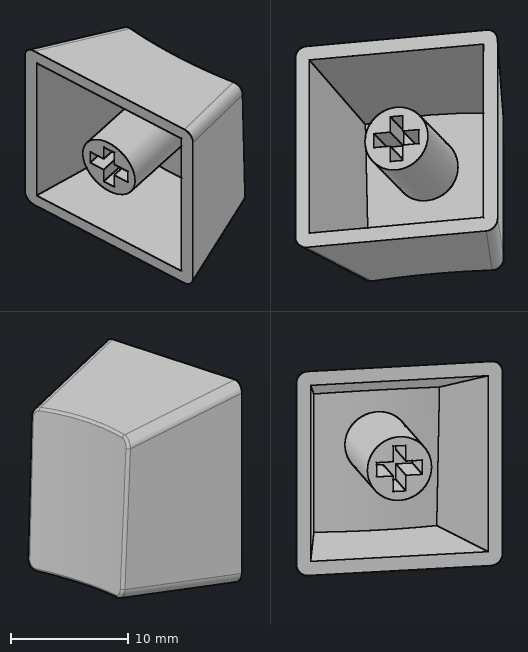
import cadquery as cq
import math

base_size = 18.0
wall = 1.25
side_lean = math.radians(13.9)
top_side_lean = math.radians(19.2)
corner_radius = 1.0
rim_radius = 0.3

dish_radius = 31.0
dish_tilt = math.radians(2.5)
dish_height = 10.12
dish_length = 3 * base_size

roof_thickness = 1.25

stem_diameter = 5.6
cross_length = 4.0
cross_bar_x = 1.25
cross_bar_z = 1.12
cross_depth = 4.0

blank_height = 13.0


def tapered_block(size):
    """Block on a square mouth of the given size, with the skirt's lean on three sides."""
    half = size / 2
    top_half_x = half - blank_height * math.tan(side_lean)
    top_z = half - blank_height * math.tan(top_side_lean)
    return cq.Workplane(
        cq.Solid.makeWedge(
            size, blank_height, size,
            half - top_half_x, 0, half + top_half_x, half + top_z,
            pnt=cq.Vector(-half, 0, -half),
        )
    )


def dish_cylinder(radius):
    """Cylinder about the dish axis; it runs past the block at both ends."""
    direction = cq.Vector(0, -math.sin(dish_tilt), math.cos(dish_tilt))
    axis_height = dish_height + dish_radius / math.cos(dish_tilt)
    start = cq.Vector(0, axis_height, 0) - direction * (dish_length / 2)
    return cq.Workplane(cq.Solid.makeCylinder(radius, dish_length, start, direction))


def make_body():
    """Skirt with rounded corners, dished top and softened rim, still solid inside."""
    block = tapered_block(base_size).edges("not(|X or |Z)").fillet(corner_radius)
    dished = block.cut(dish_cylinder(dish_radius))
    return dished.faces(">Y").edges().fillet(rim_radius)


def make_cavity():
    """Hollow that follows the skirt and ends one roof thickness below the dish."""
    return tapered_block(base_size - 2 * wall).cut(dish_cylinder(dish_radius + roof_thickness))


def make_stem():
    """Round column rising from the mouth plane; the cavity is cut away around it."""
    return cq.Workplane(
        cq.Solid.makeCylinder(stem_diameter / 2, blank_height, cq.Vector(0, 0, 0), cq.Vector(0, 1, 0))
    )


def make_socket():
    """Cross-shaped blind hole in the end face of the stem."""
    bar_x = cq.Workplane().box(cross_length, cross_depth, cross_bar_x)
    bar_z = cq.Workplane().box(cross_bar_z, cross_depth, cross_length)
    return bar_x.union(bar_z).translate((0, cross_depth / 2, 0))


result = make_body().cut(make_cavity().cut(make_stem())).cut(make_socket())